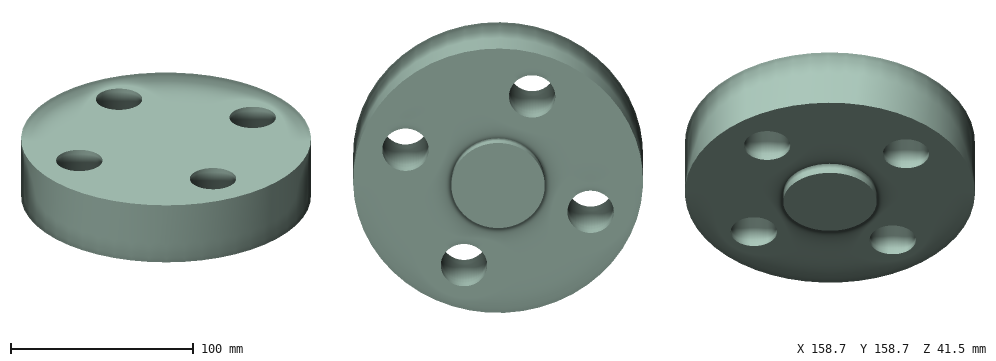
import cadquery as cq

flange_diameter = 158.7
overall_height = 41.5

spigot_diameter = 51.1
spigot_height = 6.3
flange_thickness = overall_height - spigot_height

bolt_circle_diameter = 108.0
bolt_hole_diameter = 25.4
bolt_hole_count = 4


def make_flange():
    """Solid disc standing on the XY plane."""
    return cq.Workplane("XY").circle(flange_diameter / 2).extrude(flange_thickness)


def add_spigot(body):
    """Raised round face projecting down from the underside of the disc."""
    spigot = cq.Workplane("XY").circle(spigot_diameter / 2).extrude(-spigot_height)
    return body.union(spigot)


def cut_bolt_holes(body):
    """Plain holes running right through the disc."""
    return (
        body.faces(">Z")
        .workplane()
        .polarArray(bolt_circle_diameter / 2, 0, 360, bolt_hole_count)
        .hole(bolt_hole_diameter)
    )


result = cut_bolt_holes(add_spigot(make_flange()))